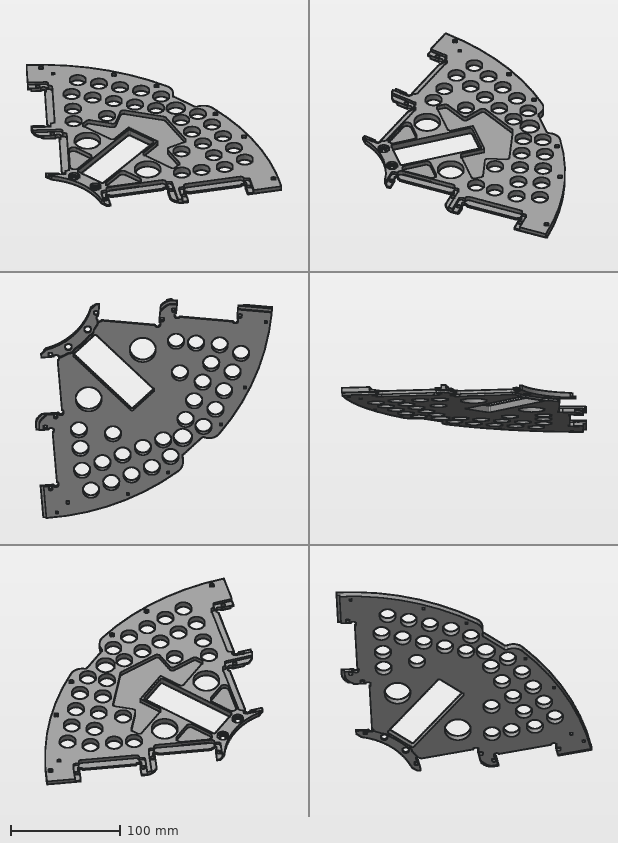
import cadquery as cq
import math


THICKNESS = 6.5
STEP_HEIGHT = 2.0
TAB_FLOOR = 3.8
HALF_ANGLE = 40.0
OUTER_RADIUS = 224.5
INNER_RADIUS = 60.2
LOWER_INNER_RADIUS = 71.0
WING_OUT = 4.0
SETBACK = 3.0
FAR = 2 * OUTER_RADIUS

INNER_TAB_OUT = -6.8
INNER_TAB_Y = 52.8
MIDDLE_TAB_OUT = 3.5
MIDDLE_TAB_Y = 95.5
MIDDLE_TAB_ROUND = 11.8

BAYS = [(94.5, -21.5), (165.2, -11.2)]
BAY_HALF_WIDTH = 28.0
LEDGE_DEPTH = 6.93
LEDGE_ROUND = 3.0
TAB_POCKET_HALF_WIDTH = 33.3
TAB_POCKET_DEPTH = 3.2
TAB_POCKET_ROUND = 2.5
RELIEF_RADIUS = 2.7
RELIEF_ALONG = 26.9
RELIEF_OUT = 1.2
TAB_HOLE_DIAMETER = 3.8
TAB_HOLE_ALONG = 30.5
TAB_HOLE_OUT = 6.2

NOTCH_Y = 214.5
LOBE_X = 25.0
LOBE_RADIUS = 11.8
NOTCH_FILLET = 2.5

SLOT_WIDTH = 29.5
SLOT_BOTTOM = 73.0
SLOT_TOP = 150.8
SLOT_ROUND = 1.5
RIM = 2.0
POCKET_BOTTOM = 129.2
POCKET_ROUND = 3.0
POCKET_HALF_OUTLINE = [(53.5, POCKET_BOTTOM), (53.5, 139.3), (29.8, 149.3), (38.0, 169.7)]
POCKET_TIP = (0, 186.0)

CORNER_POCKET_X = 16.5
CORNER_POCKET_TOP = 99.7
CORNER_POCKET_OUT = -29.35
CORNER_POCKET_ROUND = 4.0

HOLE_DIAMETER = 15.0
HOLE_PITCH = 20.0
ROW_TILT = 22.5
HOLE_ROWS = [((41.0, 203.3), 4), ((14.5, 191.2), 5)]
SINGLE_HOLES = [(21.2, 207.7), (43.0, 154.5), (74.5, 144.0), (62.5, 129.8)]
TOP_HOLE_Y = 202.0
TOP_HOLE_DIAMETER = 17.0
LARGE_HOLE_X = 34.8
LARGE_HOLE_Y = 114.5
LARGE_HOLE_DIAMETER = 24.0

BOLT_X = 12.5
BOLT_Y = 65.2
BOLT_DIAMETER = 6.2
BOLT_HEAD_DIAMETER = 10.0
BOLT_HEAD_DEPTH = 2.5
BOLT_RELIEF_DIAMETER = 11.5
RIM_SCREW_RADIUS = 220.0
RIM_SCREW_ANGLES = [8.9, 20.0, 37.7]
RIM_SCREW_DIAMETER = 2.5
RIM_SCREW_HEAD_DIAMETER = 4.0
RIM_SCREW_HEAD_DEPTH = 2.5
PIN_X = -120.5
PIN_Y = 174.0
PIN_DIAMETER = 3.0


def on_ray(along, out):
    """X and Y of a point given in the frame of the +X side ray."""
    a = math.radians(HALF_ANGLE)
    return (along * math.sin(a) + out * math.cos(a), along * math.cos(a) - out * math.sin(a))


def both_sides(solid):
    return solid.union(solid.mirror("YZ"))


def prism(points, bottom, top):
    return cq.Workplane("XY").workplane(offset=bottom).polyline(points).close().extrude(top - bottom)


def ray_box(along_from, along_to, out_from, out_to, bottom=0, top=THICKNESS):
    corners = [(along_from, out_from), (along_to, out_from), (along_to, out_to), (along_from, out_to)]
    return prism([on_ray(*corner) for corner in corners], bottom, top)


def cylinders(points, diameter, bottom=0, top=THICKNESS):
    start = cq.Workplane("XY").workplane(offset=bottom)
    return start.pushPoints(points).circle(diameter / 2).extrude(top - bottom)


def mirrored(points):
    return points + [(-x, y) for x, y in points]


def arc_middle(center, start, end):
    """Middle of the shorter arc from start to end about center."""
    radius = math.dist(center, start)
    dx = (start[0] + end[0]) / 2 - center[0]
    dy = (start[1] + end[1]) / 2 - center[1]
    scale = radius / math.hypot(dx, dy)
    return (center[0] + dx * scale, center[1] + dy * scale)


def fan(inner_radius, wing_out, bottom, top):
    ring = cq.Workplane("XY").workplane(offset=bottom)
    ring = ring.circle(OUTER_RADIUS).circle(inner_radius).extrude(top - bottom)
    apex = (0, wing_out * -1 / math.sin(math.radians(HALF_ANGLE)))
    right = on_ray(FAR, wing_out)
    return ring.intersect(prism([apex, right, (-right[0], right[1])], bottom, top))


def middle_tab_end(setback, bottom, top):
    """Everything outside the rounded end of the +X middle tab, between its two bays."""
    tab_start = BAYS[0][0] + BAY_HALF_WIDTH
    tab_end = BAYS[1][0] - BAY_HALF_WIDTH
    end_out = MIDDLE_TAB_OUT - setback
    low_y = MIDDLE_TAB_Y + setback
    a = math.radians(HALF_ANGLE)
    corner_along = (low_y + end_out * math.sin(a)) / math.cos(a)
    corner = on_ray(corner_along, end_out)
    kept = prism([corner, on_ray(FAR, end_out), (0, FAR), (0, low_y)], bottom, top)
    kept = kept.edges(cq.selectors.NearestToPointSelector((*corner, (bottom + top) / 2)))
    kept = kept.fillet(MIDDLE_TAB_ROUND - setback)
    return ray_box(tab_start, tab_end, BAYS[0][1], OUTER_RADIUS, bottom, top).cut(kept)


def inner_tab_end():
    tab_end = BAYS[0][0] - BAY_HALF_WIDTH
    beyond = ray_box(0, tab_end, INNER_TAB_OUT, FAR)
    below = cq.Workplane("XY").rect(FAR, 2 * INNER_TAB_Y).extrude(THICKNESS)
    return beyond.union(below)


def bay(along, out):
    """Opening, ledge, tab pockets, corner reliefs and tab holes of one +X side bay."""
    opening = ray_box(along - BAY_HALF_WIDTH, along + BAY_HALF_WIDTH, out, OUTER_RADIUS)
    ledge = ray_box(
        along - BAY_HALF_WIDTH, along + BAY_HALF_WIDTH, out - LEDGE_DEPTH, OUTER_RADIUS, STEP_HEIGHT
    )
    ledge = ledge.edges("|Z").fillet(LEDGE_ROUND)
    tab_pocket = ray_box(
        along - TAB_POCKET_HALF_WIDTH,
        along + TAB_POCKET_HALF_WIDTH,
        out - TAB_POCKET_DEPTH,
        OUTER_RADIUS,
        TAB_FLOOR,
    )
    tab_pocket = tab_pocket.edges("|Z").fillet(TAB_POCKET_ROUND)
    reliefs = [on_ray(along + side * RELIEF_ALONG, out + RELIEF_OUT) for side in (-1, 1)]
    holes = [on_ray(along + side * TAB_HOLE_ALONG, out + TAB_HOLE_OUT) for side in (-1, 1)]
    return (
        opening.union(ledge)
        .union(tab_pocket)
        .union(cylinders(reliefs, 2 * RELIEF_RADIUS))
        .union(cylinders(holes, TAB_HOLE_DIAMETER))
    )


def rim_notch():
    lobe_reach = OUTER_RADIUS - LOBE_RADIUS
    lobe = (LOBE_X, math.sqrt(lobe_reach**2 - LOBE_X**2))
    rim_end = (lobe[0] * OUTER_RADIUS / lobe_reach, lobe[1] * OUTER_RADIUS / lobe_reach)
    fillet_y = NOTCH_Y + NOTCH_FILLET
    centre_gap = LOBE_RADIUS + NOTCH_FILLET
    fillet = (LOBE_X - math.sqrt(centre_gap**2 - (fillet_y - lobe[1]) ** 2), fillet_y)
    share = LOBE_RADIUS / centre_gap
    meet = (lobe[0] + (fillet[0] - lobe[0]) * share, lobe[1] + (fillet[1] - lobe[1]) * share)
    flat_end = (fillet[0], NOTCH_Y)
    half = (
        cq.Workplane("XY")
        .moveTo(0, NOTCH_Y)
        .lineTo(*flat_end)
        .threePointArc(arc_middle(fillet, flat_end, meet), meet)
        .threePointArc(arc_middle(lobe, meet, rim_end), rim_end)
        .lineTo(rim_end[0], FAR)
        .lineTo(0, FAR)
        .close()
        .extrude(THICKNESS)
    )
    return both_sides(half)


def slot():
    height = SLOT_TOP - SLOT_BOTTOM
    middle = (SLOT_TOP + SLOT_BOTTOM) / 2
    block = cq.Workplane("XY").center(0, middle).rect(SLOT_WIDTH, height).extrude(THICKNESS)
    return block.edges("|Z").fillet(SLOT_ROUND)


def slot_pocket():
    """Arrow-shaped pocket that leaves a thin rim around the upper end of the slot."""
    rim_x = SLOT_WIDTH / 2 + RIM
    rim_top = SLOT_TOP + RIM
    right = [(rim_x, rim_top), (rim_x, POCKET_BOTTOM)] + POCKET_HALF_OUTLINE
    left = [(-x, y) for x, y in reversed(right)]
    pocket = prism(right + [POCKET_TIP] + left, STEP_HEIGHT, THICKNESS)
    rounded = pocket.edges("|Z").filter(
        lambda edge: abs(edge.Center().y - rim_top) > RIM or abs(edge.Center().x) > rim_x + RIM
    )
    return rounded.fillet(POCKET_ROUND)


def corner_pocket():
    a = math.radians(HALF_ANGLE)
    low_along = (CORNER_POCKET_X - CORNER_POCKET_OUT * math.cos(a)) / math.sin(a)
    high_along = (CORNER_POCKET_TOP + CORNER_POCKET_OUT * math.sin(a)) / math.cos(a)
    outline = [
        (CORNER_POCKET_X, CORNER_POCKET_TOP),
        on_ray(low_along, CORNER_POCKET_OUT),
        on_ray(high_along, CORNER_POCKET_OUT),
    ]
    return prism(outline, STEP_HEIGHT, THICKNESS).edges("|Z").fillet(CORNER_POCKET_ROUND)


def round_holes():
    tilt = math.radians(ROW_TILT)
    points = list(SINGLE_HOLES)
    for (x, y), count in HOLE_ROWS:
        for i in range(count):
            points.append((x + i * HOLE_PITCH * math.cos(tilt), y - i * HOLE_PITCH * math.sin(tilt)))
    holes = cylinders(mirrored(points), HOLE_DIAMETER)
    holes = holes.union(cylinders([(0, TOP_HOLE_Y)], TOP_HOLE_DIAMETER))
    return holes.union(cylinders(mirrored([(LARGE_HOLE_X, LARGE_HOLE_Y)]), LARGE_HOLE_DIAMETER))


def screw_holes():
    bolts = mirrored([(BOLT_X, BOLT_Y)])
    rim_screws = []
    for angle in RIM_SCREW_ANGLES:
        a = math.radians(angle)
        rim_screws.append((RIM_SCREW_RADIUS * math.sin(a), RIM_SCREW_RADIUS * math.cos(a)))
    rim_screws = mirrored(rim_screws)
    return (
        cylinders(bolts, BOLT_DIAMETER)
        .union(cylinders(bolts, BOLT_HEAD_DIAMETER, bottom=THICKNESS - BOLT_HEAD_DEPTH))
        .union(cylinders(bolts, BOLT_RELIEF_DIAMETER, top=STEP_HEIGHT))
        .union(cylinders(rim_screws, RIM_SCREW_DIAMETER))
        .union(cylinders(rim_screws, RIM_SCREW_HEAD_DIAMETER, bottom=THICKNESS - RIM_SCREW_HEAD_DEPTH))
        .union(cylinders([(PIN_X, PIN_Y)], PIN_DIAMETER))
    )


upper = fan(INNER_RADIUS, WING_OUT, STEP_HEIGHT, THICKNESS)
upper = upper.cut(both_sides(middle_tab_end(0, STEP_HEIGHT, THICKNESS)))
upper = upper.cut(both_sides(inner_tab_end()))

lower = fan(LOWER_INNER_RADIUS, WING_OUT - SETBACK, 0, STEP_HEIGHT)
lower = lower.cut(both_sides(middle_tab_end(SETBACK, 0, STEP_HEIGHT)))

result = upper.union(lower)
for along, out in BAYS:
    result = result.cut(both_sides(bay(along, out)))
result = result.cut(rim_notch()).cut(slot()).cut(slot_pocket()).cut(both_sides(corner_pocket()))
result = result.cut(round_holes()).cut(screw_holes())